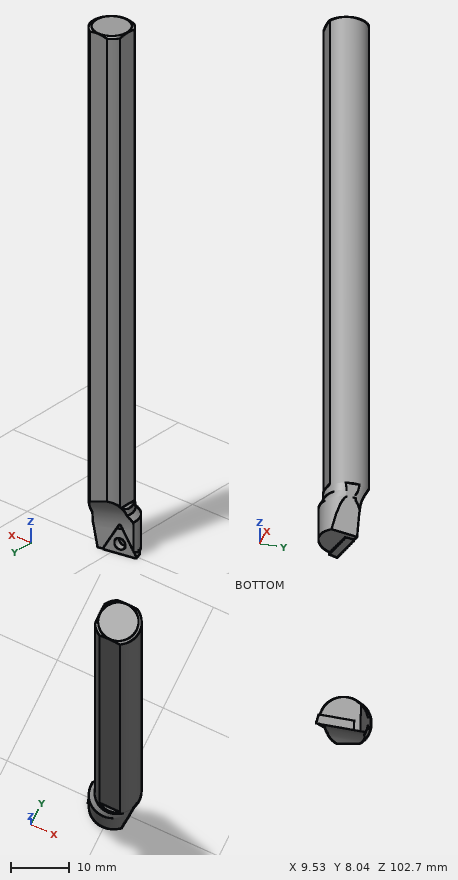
import cadquery as cq
import math

shank_radius = 4.0
flat_distance = 3.5
total_length = 102.7
flats_bottom = 9.95
ledge_height = 0.5
ledge_width = shank_radius - flat_distance
shank_bottom = flats_bottom - ledge_height
top_chamfer_radial = 0.55
top_chamfer_height = 0.3

neck_bottom = 8.2
neck_radius = 3.9
neck_center = (-0.2, 0.0)
shoulder_bottom = 7.0
head_radius = 4.2
head_center = (-0.8, -0.34)

side_relief_x = 2.05
side_relief_angle = 10.5

relief_angle = 8.0
relief_start_y = 1.2
relief_start_z = 0.1

flute_lean = side_relief_angle
rake_angle = 10.0
flute_runout_radius = 9.0
flute_floor_top = 5.5

tip_reach = 5.53
insert_incircle = 3.97
insert_edge = insert_incircle * math.sqrt(3)
insert_thickness = 1.59
insert_clearance = 7.0
insert_nose_radius = 0.2
insert_hole_diameter = 2.2

cut_margin = 20.0

rake = math.radians(rake_angle)
nose_setback = insert_nose_radius * (math.sqrt(3) - 1)
rake_plane = cq.Plane(
    origin=(-tip_reach - nose_setback * math.cos(rake), -nose_setback * math.sin(rake), 0),
    xDir=(math.cos(rake), math.sin(rake), 0),
    normal=(-math.sin(rake), math.cos(rake), 0),
)


def make_shank():
    length = total_length - shank_bottom
    chamfer_start = length - top_chamfer_height
    bar = (
        cq.Workplane("XZ")
        .polyline([
            (0, 0),
            (shank_radius, 0),
            (shank_radius, chamfer_start),
            (shank_radius - top_chamfer_radial, length),
            (0, length),
        ])
        .close()
        .revolve(360, (0, 0), (0, 1))
        .translate((0, 0, shank_bottom))
    )
    flats_length = flat_distance + 2 * shank_radius
    flats = (
        cq.Workplane("XY", origin=(flats_length / 2 - flat_distance, 0, flats_bottom))
        .rect(flats_length, 2 * flat_distance)
        .extrude(total_length - flats_bottom)
    )
    ledge_taper = -math.degrees(math.atan2(ledge_width, ledge_height))
    ledges = (
        flats.faces("<Z").workplane()
        .rect(flats_length, 2 * flat_distance)
        .extrude(ledge_height, taper=ledge_taper, combine=False)
    )
    return bar.intersect(flats.union(ledges))


def loft_between(upper_wire, lower_wire):
    return cq.Workplane(cq.Solid.makeLoft([upper_wire, lower_wire], True))


def circle_section(center, radius, height):
    return cq.Workplane("XY", origin=(center[0], center[1], height)).circle(radius).wires().val()


def half_space():
    """Large block below the XY plane, wider than the part."""
    return (
        cq.Workplane("XY", origin=(0, 0, -cut_margin))
        .box(2 * cut_margin, 2 * cut_margin, cut_margin, centered=(True, True, False))
    )


def make_head():
    shank_end = circle_section((0, 0), shank_radius, shank_bottom)
    neck_end = circle_section(neck_center, neck_radius, neck_bottom)
    shoulder_end = circle_section(head_center, head_radius, shoulder_bottom)
    lower_end = circle_section(head_center, head_radius, 0)
    head = (
        loft_between(shank_end, neck_end)
        .union(loft_between(neck_end, shoulder_end))
        .union(loft_between(shoulder_end, lower_end))
    )
    lower_relief = (
        half_space()
        .rotate((0, 0, 0), (1, 0, 0), -relief_angle)
        .translate((0, relief_start_y, relief_start_z))
    )
    side_relief = (
        half_space()
        .rotate((0, 0, 0), (0, 1, 0), -90 + side_relief_angle)
        .translate((side_relief_x, 0, 0))
    )
    return head.cut(lower_relief).cut(side_relief)


def make_flute():
    """Profile in the plane across the floor, swept along the floor's width."""
    width_direction = rake_plane.rotated((0, 0, flute_lean)).xDir
    profile_plane = cq.Plane(origin=rake_plane.origin, xDir=rake_plane.zDir, normal=width_direction)
    end_x = flute_runout_radius
    end_z = flute_floor_top + flute_runout_radius
    mid_offset = flute_runout_radius * math.sqrt(0.5)
    mid = (flute_runout_radius - mid_offset, flute_floor_top + mid_offset)
    return (
        cq.Workplane(profile_plane)
        .moveTo(0, -cut_margin)
        .lineTo(0, flute_floor_top)
        .threePointArc(mid, (end_x, end_z))
        .lineTo(end_x, -cut_margin)
        .close()
        .extrude(cut_margin, both=True)
    )


def make_insert_blank():
    """Triangle with one edge along the bottom, tapering behind its face."""
    apex = (insert_edge / 2, -1.5 * insert_incircle)
    corners = [(0, 0), (insert_edge, 0), apex, (0, 0)]
    outline = cq.Sketch().polygon(corners).vertices().fillet(insert_nose_radius)
    return cq.Workplane(rake_plane).placeSketch(outline).extrude(-insert_thickness, taper=insert_clearance)


def make_insert(blank):
    """The blank with its central screw hole."""
    return (
        blank.copyWorkplane(cq.Workplane(rake_plane))
        .center(insert_edge / 2, -insert_incircle / 2)
        .circle(insert_hole_diameter / 2)
        .cutThruAll()
    )


insert_blank = make_insert_blank()
holder = make_shank().union(make_head()).cut(make_flute()).cut(insert_blank)
insert = make_insert(insert_blank)

result = cq.Compound.makeCompound([*holder.solids().vals(), *insert.solids().vals()])